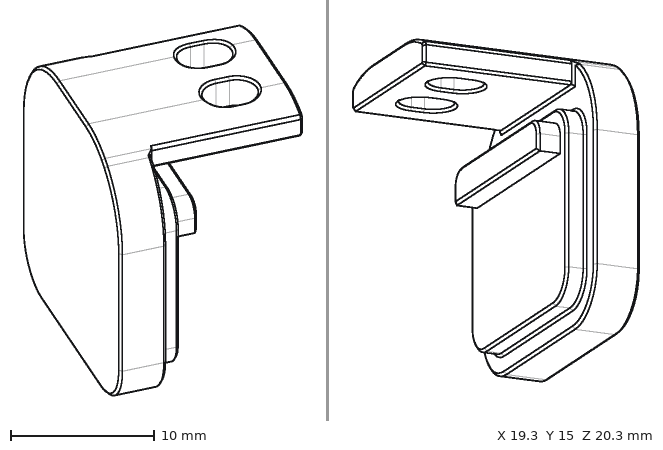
import cadquery as cq
import math

plate_width = 19.26
plate_height = 20.3
plate_thickness = 3.5
upper_radius = 6.75
lower_radius = 3.75
edge_chamfer = 0.2

arm_width = 12.3
arm_thickness = 2.54
arm_reach = 15.0
facet_outer_x = 6.68

slot_width = 3.0
slot_length = 4.0
slot_spacing = 5.03
slot_end_distance = 4.1
rim_clearance = 0.1

boss_inset = 1.5
boss_height = 1.5
boss_top_drop = 4.5
rib_inset = 1.02
rib_height = 1.75
rib_width_z = 2.52

half_width = plate_width / 2
half_arm = arm_width / 2
arc_center_x = half_width - upper_radius
arc_center_z = plate_height - upper_radius
boss_half_width = half_width - boss_inset
boss_top = plate_height - boss_top_drop
boss_upper_radius = boss_top - arc_center_z
boss_back = plate_thickness + boss_height


def upper_arc_z(x):
    """Height of the upper corner arc of the plate at distance x from the centre."""
    return arc_center_z + math.sqrt(upper_radius**2 - (x - arc_center_x) ** 2)


def upper_arc_point(angle):
    """Point of the right upper corner arc, at an angle measured from +X."""
    return (
        arc_center_x + upper_radius * math.cos(angle),
        arc_center_z + upper_radius * math.sin(angle),
    )


def upper_arc_angle(x):
    """Angle from +X of the upper corner arc at distance x from the centre."""
    return math.acos((x - arc_center_x) / upper_radius)


def mirrored(point):
    """The same outline point on the other side of the plate."""
    return (-point[0], point[1])


def at_y(y):
    """XZ sketch plane at the given Y; extrude by a negative distance to go to +Y."""
    return cq.Workplane("XZ", origin=(0, y, 0))


def plate_outline(sketch):
    """Rounded plate outline, with a short flat on each upper corner beside the arm."""
    facet_inner = (half_arm, upper_arc_z(half_arm))
    facet_outer = (facet_outer_x, upper_arc_z(facet_outer_x))
    inner_mid = upper_arc_point((math.pi / 2 + upper_arc_angle(half_arm)) / 2)
    outer_mid = upper_arc_point(upper_arc_angle(facet_outer_x) / 2)
    top_end = (arc_center_x, plate_height)
    side_end = (half_width, arc_center_z)
    lower_start = half_width - lower_radius
    return (
        sketch.moveTo(-lower_start, 0)
        .lineTo(lower_start, 0)
        .radiusArc((half_width, lower_radius), -lower_radius)
        .lineTo(*side_end)
        .threePointArc(outer_mid, facet_outer)
        .lineTo(*facet_inner)
        .threePointArc(inner_mid, top_end)
        .lineTo(*mirrored(top_end))
        .threePointArc(mirrored(inner_mid), mirrored(facet_inner))
        .lineTo(*mirrored(facet_outer))
        .threePointArc(mirrored(outer_mid), mirrored(side_end))
        .lineTo(-half_width, lower_radius)
        .radiusArc((-lower_start, 0), -lower_radius)
        .close()
    )


def outline_prism(depth):
    """Plate outline extruded from the front face to the given depth."""
    return plate_outline(at_y(0)).extrude(-depth)


def make_plate():
    """Plate with chamfered front and back edges."""
    plate = outline_prism(plate_thickness)
    return plate.faces("<Y or >Y").edges().chamfer(edge_chamfer)


def make_arm():
    """Arm that follows the top of the plate outline, with chamfered edges."""
    arm_blank = (
        at_y(plate_thickness - edge_chamfer)
        .center(0, plate_height - arm_thickness / 2)
        .rect(arm_width, arm_thickness)
        .extrude(plate_thickness - edge_chamfer - arm_reach)
    )
    arm = arm_blank.intersect(outline_prism(arm_reach))
    arm = arm.faces("<X or >X").edges("|Y").chamfer(edge_chamfer)
    return arm.faces(">Y").edges().chamfer(edge_chamfer)


def make_arm_root():
    """Sloped collar where the arm meets the back of the plate, kept inside the plate outline."""
    collar_depth = 2 * edge_chamfer
    collar = (
        at_y(plate_thickness + edge_chamfer)
        .center(0, plate_height - arm_thickness / 2)
        .rect(arm_width, arm_thickness)
        .workplane(offset=collar_depth)
        .rect(arm_width + 2 * collar_depth, arm_thickness + 2 * collar_depth)
        .loft()
    )
    return collar.intersect(outline_prism(arm_reach))


def boss_block(start_y, end_y, half_x, bottom, top, upper_corner, lower_corner):
    """Block with rounded corners and a chamfered back; a lower corner of 0 stays square."""
    block = (
        at_y(start_y)
        .center(0, (bottom + top) / 2)
        .rect(2 * half_x, top - bottom)
        .extrude(start_y - end_y)
    )
    block = block.faces(">Z").edges("|Y").fillet(upper_corner)
    if lower_corner:
        block = block.faces("<Z").edges("|Y").fillet(lower_corner)
    return block.faces(">Y").edges().chamfer(edge_chamfer)


def make_boss():
    """Rounded boss with a sloped collar around its base."""
    lower_corner = lower_radius - boss_inset
    boss = boss_block(
        plate_thickness,
        boss_back,
        boss_half_width,
        boss_inset,
        boss_top,
        boss_upper_radius,
        lower_corner,
    )
    collar = boss_block(
        plate_thickness - edge_chamfer,
        plate_thickness + edge_chamfer,
        boss_half_width + edge_chamfer,
        boss_inset - edge_chamfer,
        boss_top + edge_chamfer,
        boss_upper_radius + edge_chamfer,
        lower_corner + edge_chamfer,
    )
    return boss.union(collar)


def make_rib():
    """Cross rib on the boss, rounded at its upper corners only."""
    rib_top = boss_top - rib_inset
    return boss_block(
        boss_back - edge_chamfer,
        boss_back + rib_height,
        boss_half_width - rib_inset,
        rib_top - rib_width_z,
        rib_top,
        boss_upper_radius - rib_inset,
        0,
    )


def cut_slots(arm):
    """Two slots along Y through the arm, with chamfered rims above and below."""
    slot_y = arm_reach - slot_end_distance
    for x in (-slot_spacing / 2, slot_spacing / 2):
        slot = (
            cq.Workplane("XY", origin=(x, slot_y, plate_height - arm_thickness))
            .slot2D(slot_length, slot_width, 90)
            .extrude(arm_thickness)
        )
        arm = arm.cut(slot)
        reach_x = slot_width / 2 + rim_clearance
        reach_y = slot_length / 2 + rim_clearance
        around_slot = cq.selectors.BoxSelector(
            (x - reach_x, slot_y - reach_y, 0),
            (x + reach_x, slot_y + reach_y, 2 * plate_height),
            boundingbox=True,
        )
        arm = arm.edges(around_slot).edges("not |Z").chamfer(edge_chamfer)
    return arm


body = make_plate().union(cut_slots(make_arm())).union(make_arm_root())
result = body.union(make_boss()).union(make_rib())